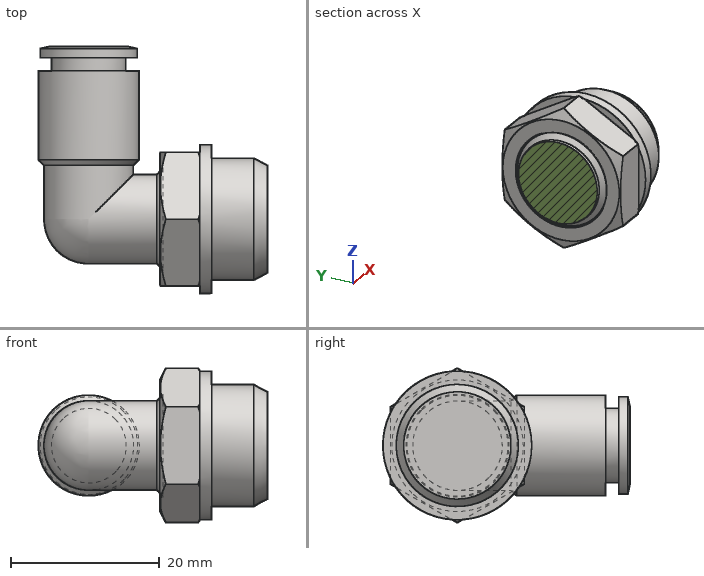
import cadquery as cq
import math


overall_x = 30.85
overall_y = 33.25
overall_z = 20.78

body_radius = 6.02
sleeve_radius = 6.78
shoulder_step = sleeve_radius - body_radius

sleeve_end = 19.95
sleeve_start = 7.98
cap_start = 21.68
cap_rim = 22.95
flange_radius = 10.0
tube_arm_length = overall_y - flange_radius
neck_radius = 5.02
cap_radius = 6.55
cap_face_radius = 5.2

collar_start = 9.18
collar_end = collar_start + shoulder_step
hex_start = 9.58
hex_end = 14.95
flange_end = 16.53
thread_chamfer_start = 22.2
threaded_arm_length = overall_x - sleeve_radius
thread_radius = 8.2
thread_end_radius = 7.2

hex_corner_radius = overall_z / 2
front_chamfer_radius = 8.85
front_chamfer_length = 0.8
rear_chamfer_length = 0.23
recess_radius = 6.9


def revolve_about_x(points):
    """Turn a closed (x, radius) outline about the X axis."""
    return cq.Workplane("XY").polyline(points).close().revolve(360, (0, 0), (1, 0))


def revolve_about_y(points):
    """Turn a closed (radius, y) outline about the Y axis."""
    return cq.Workplane("XY").polyline(points).close().revolve(360, (0, 0), (0, 1))


def make_tube_arm():
    """Body, wider sleeve, neck and release cap with a shallow conical face."""
    return revolve_about_y([
        (0, 0),
        (body_radius, 0),
        (body_radius, sleeve_start - shoulder_step),
        (sleeve_radius, sleeve_start),
        (sleeve_radius, sleeve_end),
        (neck_radius, sleeve_end),
        (neck_radius, cap_start),
        (cap_radius, cap_start),
        (cap_radius, cap_rim),
        (cap_face_radius, tube_arm_length),
        (0, tube_arm_length),
    ])


def make_threaded_arm():
    """Body, conical collar inside the nut, flange and chamfered thread stub."""
    return revolve_about_x([
        (0, 0),
        (0, body_radius),
        (collar_start, body_radius),
        (collar_end, sleeve_radius),
        (hex_end, sleeve_radius),
        (hex_end, flange_radius),
        (flange_end, flange_radius),
        (flange_end, thread_radius),
        (thread_chamfer_start, thread_radius),
        (threaded_arm_length, thread_end_radius),
        (threaded_arm_length, 0),
    ])


def make_nut():
    """Hexagon with corners at +Z and -Z, turned chamfers and a front recess around the collar."""
    corners = [
        (hex_corner_radius * math.sin(side * math.pi / 3), hex_corner_radius * math.cos(side * math.pi / 3))
        for side in range(6)
    ]
    front_plane = cq.Workplane("YZ", origin=(hex_start, 0, 0))
    prism = front_plane.polyline(corners).close().extrude(hex_end - hex_start)
    chamfer_envelope = revolve_about_x([
        (hex_start, 0),
        (hex_start, front_chamfer_radius),
        (hex_start + front_chamfer_length, hex_corner_radius),
        (hex_end - rear_chamfer_length, hex_corner_radius),
        (hex_end, flange_radius),
        (hex_end, 0),
    ])
    recess = front_plane.circle(recess_radius).extrude(collar_end - hex_start)
    return prism.intersect(chamfer_envelope).cut(recess)


corner_ball = cq.Workplane("XY").sphere(body_radius)

result = make_tube_arm().union(make_threaded_arm()).union(corner_ball).union(make_nut())